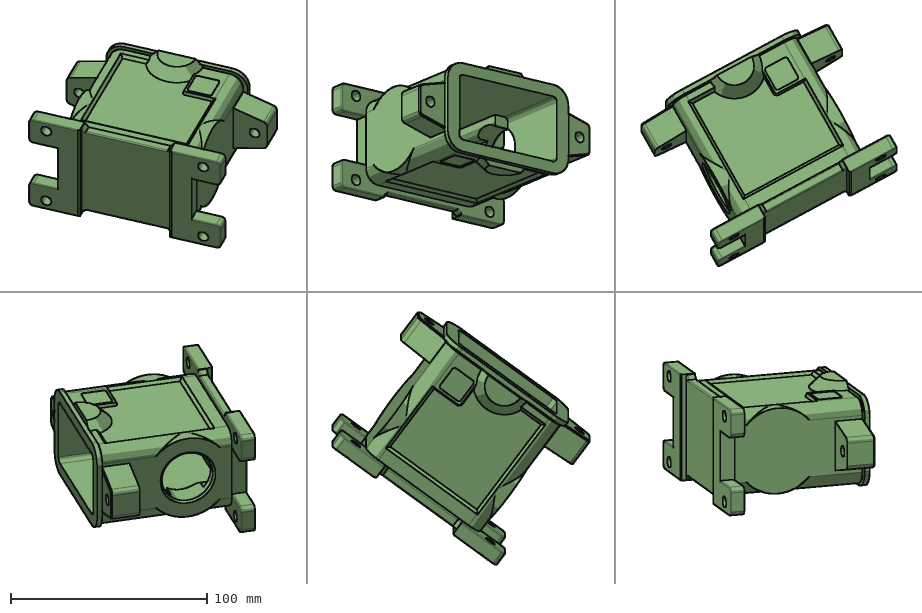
import cadquery as cq
import math


BEVEL_ANGLE = 45.0

BODY_HALF_X = 36.2
BODY_HALF_Z = 22.6
BODY_CORNER = 7.6
BODY_FRONT_Y = 2.9
BODY_BACK_Y = 77.3
BACK_CHAMFER = 0.7

OVERALL_Y = 80.0
FLANGE_HALF_X = 38.5
FLANGE_HALF_Z = 23.8
FLANGE_CORNER = 9.6

PLATE_THICK = 7.7
PLATE_INNER_X = 24.4
PLATE_OUTER_X = 52.1
PLATE_HALF_Z = 28.0
PLATE_CORNER = 2.5
PLATE_FRONT_ROUND = 0.4
PLATE_BACK_ROUND = 0.5
PLATE_STEP_RUN = 1.1
PLATE_STEP_DROP = 0.4
NOTCH_HALF_Z = 13.0
NOTCH_BOTTOM_X = 36.3
PLATE_HOLE_X = 42.6
PLATE_HOLE_Z = 22.6
PLATE_HOLE_DIA = 5.6

PANEL_HALF_Z = 25.4
PANEL_FLARE = 2.2
PANEL_ROUND = 0.7

EAR_TIP_X = 54.5
EAR_FRONT_Y = 62.1
EAR_ROOT_HALF_Z = 13.0
EAR_TAPER = 15.0
EAR_CORNER = 2.7
EAR_HOLE_X = 47.6
EAR_HOLE_DIA = 5.5

RECESS_DEPTH = 1.6
RECESS_HALF_X = 29.1
RECESS_Y = (14.9, 73.1)
PAD_LEFT_X = 11.8
PAD_FRONT_Y = 54.9
PAD_CORNER = 2.2
PAD_WALL_ANGLE = 25.0
BADGE_CENTER = (19.6, 63.0)
BADGE_SIZE = 13.2
BADGE_CORNER = 1.4
BADGE_DEPTH = 0.2

CONE_TOP_Z = 26.7
CONE_TOP_RADIUS = 10.0

CABLE_Y = 31.1
CABLE_BOSS_INNER_X = 28.3
BORE_RADIUS = 13.5
BORE_CHAMFER = 1.1

SIDE_WALL = 5.1
CAVITY_HALF_X = BODY_HALF_X - SIDE_WALL
CAVITY_HALF_Z = 17.4
CAVITY_CORNER = BODY_CORNER - SIDE_WALL
CAVITY_FRONT_Y = BODY_FRONT_Y + SIDE_WALL

CORNER_BLOCK_BACK_Y = 38.6
CORNER_BLOCK_INNER_X = 22.9
CORNER_BLOCK_INNER_Z = 9.5
CORNER_BLOCK_ROUND = 4.0


def block(x, y, z):
    """Box from (low, high) pairs along each axis."""
    size = [high - low for low, high in (x, y, z)]
    return cq.Workplane("XY").box(*size, centered=False).translate((x[0], y[0], z[0]))


def xz_plane(y):
    """Work plane at the given Y whose extrusions run toward +Y; its local Y axis is -Z."""
    return cq.Workplane(cq.Plane(origin=(0, y, 0), xDir=(1, 0, 0), normal=(0, 1, 0)))


def rounded_slab(half_x, half_z, corner, y_start, y_end):
    slab = xz_plane(y_start).rect(2 * half_x, 2 * half_z).extrude(y_end - y_start)
    return slab.edges("|Y").fillet(corner)


def both_x(shape):
    return shape.union(shape.mirror("YZ"))


def both_z(shape):
    return shape.union(shape.mirror("XY"))


def mounting_plate():
    """C-shaped plate on the +X side with two arms and two screw holes."""
    plate = block((PLATE_INNER_X, PLATE_OUTER_X), (0, PLATE_THICK), (-PLATE_HALF_Z, PLATE_HALF_Z))
    notch = block((NOTCH_BOTTOM_X, PLATE_OUTER_X), (0, PLATE_THICK), (-NOTCH_HALF_Z, NOTCH_HALF_Z))
    plate = plate.cut(notch)
    plate = plate.edges("|Y and >X").fillet(PLATE_CORNER)
    plate = plate.faces("<X").edges("<Y").chamfer(PLATE_STEP_RUN, PLATE_STEP_DROP)
    plate = plate.faces("<Y").edges("|X").fillet(PLATE_FRONT_ROUND)
    plate = plate.faces(">Y").edges("|X").fillet(PLATE_BACK_ROUND)
    hole_places = [(PLATE_HOLE_X, PLATE_HOLE_Z), (PLATE_HOLE_X, -PLATE_HOLE_Z)]
    holes = xz_plane(0).pushPoints(hole_places).circle(PLATE_HOLE_DIA / 2).extrude(PLATE_THICK)
    return plate.cut(holes)


def front_panel():
    """Panel joining the plates, flared toward them at each end."""
    depth = PLATE_THICK - BODY_FRONT_Y
    flare_start_x = PLATE_INNER_X - PANEL_FLARE
    flare_end_z = PANEL_HALF_Z + PANEL_FLARE
    upper_right = [(flare_start_x, PANEL_HALF_Z), (PLATE_INNER_X, flare_end_z)]
    right = upper_right + [(x, -z) for x, z in reversed(upper_right)]
    left = [(-x, -z) for x, z in right]
    panel = xz_plane(BODY_FRONT_Y).polyline(right + left).close().extrude(depth)
    return panel.faces("<Y or >Y").edges("not |Z").fillet(PANEL_ROUND)


def side_ear():
    """Tapered lug on the +X side with one hole along Y."""
    tip_half_z = EAR_ROOT_HALF_Z - (EAR_TIP_X - BODY_HALF_X) * math.tan(math.radians(EAR_TAPER))
    root_x = BODY_HALF_X - SIDE_WALL / 2
    outline = [
        (root_x, EAR_ROOT_HALF_Z),
        (BODY_HALF_X, EAR_ROOT_HALF_Z),
        (EAR_TIP_X, tip_half_z),
        (EAR_TIP_X, -tip_half_z),
        (BODY_HALF_X, -EAR_ROOT_HALF_Z),
        (root_x, -EAR_ROOT_HALF_Z),
    ]
    length = BODY_BACK_Y - EAR_FRONT_Y
    ear = xz_plane(EAR_FRONT_Y).polyline(outline).close().extrude(length)
    ear = ear.edges("|Y and >X").fillet(EAR_CORNER)
    ear = ear.faces(">Y").edges("not <X").chamfer(BACK_CHAMFER)
    hole = xz_plane(EAR_FRONT_Y).center(EAR_HOLE_X, 0).circle(EAR_HOLE_DIA / 2).extrude(length)
    return ear.cut(hole)


def cable_boss():
    """Cylinder on the +X side that fills out the rounded body corners around the cable axis."""
    boss = cq.Workplane("YZ", origin=(CABLE_BOSS_INNER_X, 0, 0)).center(CABLE_Y, 0)
    return boss.circle(BODY_HALF_Z).extrude(BODY_HALF_X - CABLE_BOSS_INNER_X)


def panel_recess():
    """Cutter for the upper face: sloped recess that leaves the badge pad standing."""
    front_y, back_y = RECESS_Y
    recess = cq.Workplane("XY", origin=(0, (front_y + back_y) / 2, BODY_HALF_Z))
    recess = recess.rect(2 * RECESS_HALF_X, back_y - front_y).extrude(-RECESS_DEPTH, taper=BEVEL_ANGLE)
    pad_size_x = 2 * (RECESS_HALF_X - PAD_LEFT_X)
    pad_size_y = 2 * (back_y - PAD_FRONT_Y)
    wall_run = RECESS_DEPTH * math.tan(math.radians(PAD_WALL_ANGLE))
    pad = cq.Workplane("XY", origin=(RECESS_HALF_X, back_y, BODY_HALF_Z - RECESS_DEPTH))
    pad = pad.sketch().rect(pad_size_x + 2 * wall_run, pad_size_y + 2 * wall_run)
    pad = pad.vertices().fillet(PAD_CORNER).finalize().extrude(RECESS_DEPTH, taper=PAD_WALL_ANGLE)
    return recess.cut(pad)


def badge_recess():
    """Shallow rounded square in the badge pad."""
    badge = cq.Workplane("XY", origin=(*BADGE_CENTER, BODY_HALF_Z - BADGE_DEPTH))
    return badge.rect(BADGE_SIZE, BADGE_SIZE).extrude(BADGE_DEPTH).edges("|Z").fillet(BADGE_CORNER)


def cone_boss():
    """Half cone that ends on the back face of the body and stands in the recess."""
    foot_z = BODY_HALF_Z - RECESS_DEPTH
    height = CONE_TOP_Z - foot_z
    foot_radius = CONE_TOP_RADIUS + height
    cone = cq.Workplane("XY", origin=(0, BODY_BACK_Y, foot_z))
    cone = cone.circle(foot_radius).extrude(height, taper=BEVEL_ANGLE)
    front_half = block(
        (-foot_radius, foot_radius), (BODY_BACK_Y - foot_radius, BODY_BACK_Y), (foot_z, CONE_TOP_Z)
    )
    return cone.intersect(front_half)


def cable_bore():
    """Cutter for the chamfered bore through the -X wall and the corner blocks behind it."""
    mouth = cq.Workplane("YZ", origin=(-BODY_HALF_X, 0, 0)).center(CABLE_Y, 0)
    chamfer = mouth.circle(BORE_RADIUS + BORE_CHAMFER).extrude(BORE_CHAMFER, taper=BEVEL_ANGLE)
    return chamfer.union(mouth.circle(BORE_RADIUS).extrude(BODY_HALF_X - CORNER_BLOCK_INNER_X))


def corner_block():
    """Block in the +X, +Z cavity corner with its free edge rounded."""
    corner = block(
        (CORNER_BLOCK_INNER_X, CAVITY_HALF_X),
        (CAVITY_FRONT_Y, CORNER_BLOCK_BACK_Y),
        (CORNER_BLOCK_INNER_Z, CAVITY_HALF_Z),
    )
    return corner.faces("<X").edges("<Z").fillet(CORNER_BLOCK_ROUND)


def cavity():
    """Cutter for the pocket, open through the back flange, that leaves the corner blocks standing."""
    pocket = rounded_slab(CAVITY_HALF_X, CAVITY_HALF_Z, CAVITY_CORNER, CAVITY_FRONT_Y, OVERALL_Y)
    return pocket.cut(both_x(both_z(corner_block())))


body = rounded_slab(BODY_HALF_X, BODY_HALF_Z, BODY_CORNER, BODY_FRONT_Y, BODY_BACK_Y)
body = body.faces(">Y").chamfer(BACK_CHAMFER)
body = body.union(both_x(cable_boss()))
body = body.cut(both_z(panel_recess())).cut(both_z(badge_recess()))

flange = rounded_slab(FLANGE_HALF_X, FLANGE_HALF_Z, FLANGE_CORNER, BODY_BACK_Y, OVERALL_Y)
body = body.union(flange).union(both_z(cone_boss()))
body = body.union(front_panel()).union(both_x(mounting_plate())).union(both_x(side_ear()))

result = body.cut(cavity()).cut(cable_bore())